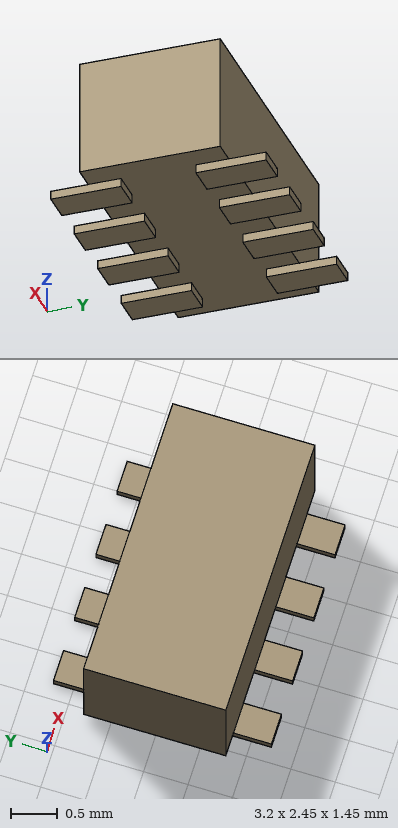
import cadquery as cq

housing_length = 3.2
housing_width = 1.6
housing_height = 1.35

leads_per_row = 4
lead_pitch = 0.76
lead_width = 0.36
lead_length = 0.8
lead_thickness = 0.1
span_over_leads = 2.45


def make_housing():
    """Plain block resting on top of the leads."""
    return (
        cq.Workplane("XY")
        .workplane(offset=lead_thickness)
        .rect(housing_length, housing_width)
        .extrude(housing_height)
    )


def make_lead(x, y):
    """Flat strip centred at (x, y), with its underside at Z = 0."""
    return (
        cq.Workplane("XY")
        .center(x, y)
        .rect(lead_width, lead_length)
        .extrude(lead_thickness)
    )


housing = make_housing()

row_y = (span_over_leads - lead_length) / 2
first_lead_x = -lead_pitch * (leads_per_row - 1) / 2
leads = []
for side in (-1, 1):
    for index in range(leads_per_row):
        leads.append(make_lead(first_lead_x + index * lead_pitch, side * row_y))

result = cq.Compound.makeCompound([housing.val(), *[lead.val() for lead in leads]])